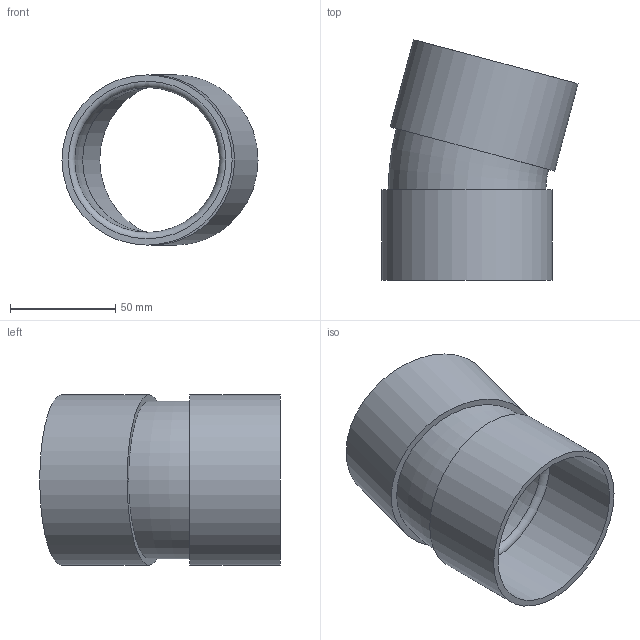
import cadquery as cq
import math

bend_angle = 15.0
bend_radius = 75.0
wall = 3.0
socket_bore_diameter = 75.0
socket_depth = 40.0
socket_outer_diameter = socket_bore_diameter + 2 * wall
socket_length = socket_depth + wall
neck_outer_diameter = socket_bore_diameter
neck_bore_diameter = neck_outer_diameter - 2 * wall
stop_radius = wall

bend = math.radians(bend_angle)
bend_start = cq.Vector(0, socket_length, 0)
bend_end = bend_start + cq.Vector(
    bend_radius * (1 - math.cos(bend)),
    bend_radius * math.sin(bend),
    0,
)
second_direction = cq.Vector(math.sin(bend), math.cos(bend), 0)
second_mouth = bend_end + second_direction * socket_length


def make_socket():
    """Socket revolved about Y, mouth at Y = 0, with a rounded pipe stop at its inner end."""
    outer_radius = socket_outer_diameter / 2
    bore_radius = socket_bore_diameter / 2
    neck_bore_radius = neck_bore_diameter / 2
    arc_offset = stop_radius * (1 - math.sqrt(0.5))
    return (
        cq.Workplane("XY")
        .moveTo(outer_radius, 0)
        .lineTo(outer_radius, socket_length)
        .lineTo(neck_bore_radius, socket_length)
        .threePointArc(
            (neck_bore_radius + arc_offset, socket_depth + arc_offset),
            (bore_radius, socket_depth),
        )
        .lineTo(bore_radius, 0)
        .close()
        .revolve(360, (0, 0, 0), (0, 1, 0))
    )


def make_neck():
    """Curved tube between the inner ends of the two sockets."""
    ring = (
        cq.Workplane("XZ", origin=bend_start.toTuple())
        .circle(neck_outer_diameter / 2)
        .circle(neck_bore_diameter / 2)
    )
    return ring.revolve(bend_angle, (bend_radius, 0, 0), (bend_radius, -1, 0))


first_socket = make_socket()
second_socket = (
    make_socket()
    .rotate((0, 0, 0), (0, 0, 1), 180 - bend_angle)
    .translate(second_mouth)
)
result = first_socket.union(make_neck()).union(second_socket)